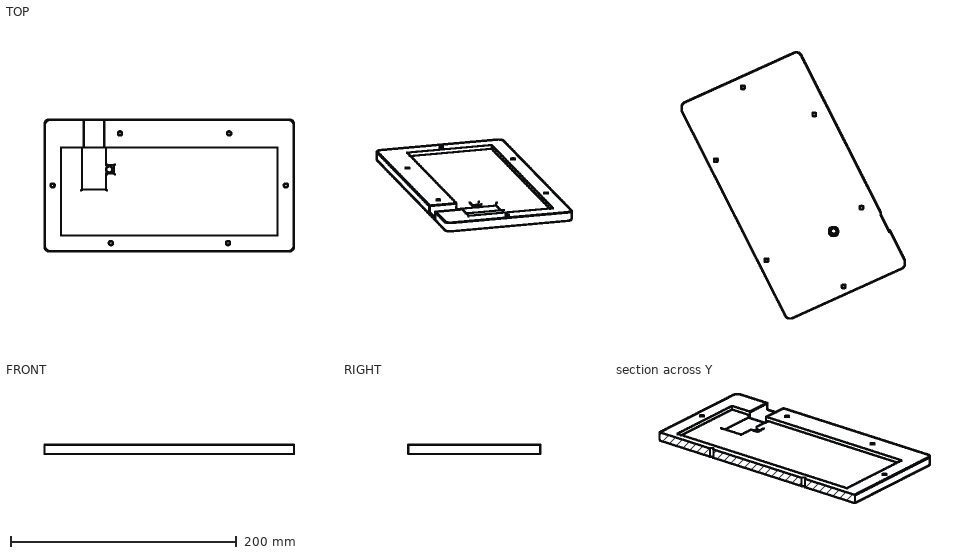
import cadquery as cq

length = 221.5
width = 117.2
thickness = 8.5
corner_radius = 5.0
top_chamfer = 0.5
bottom_radius = 1.0

pocket_length = 192.0
pocket_width = 78.0
pocket_depth = 3.5
back_rim = 25.0
pocket_back_y = width / 2 - back_rim
pocket_floor_z = thickness - pocket_depth

channel_x = -66.65
channel_width = 17.7
channel_left = channel_x - channel_width / 2
channel_right = channel_x + channel_width / 2
channel_corner_radius = 0.6
channel_floor_z = 2.2

recess_floor_z = 2.4
recess_width = 21.3
recess_length = 37.3
recess_left = channel_x - recess_width / 2
recess_right = channel_x + recess_width / 2
recess_front_y = pocket_back_y - recess_length
recess_rim_radius = 1.0

tab_width = 7.5
tab_end_x = -48.8
hole_y = 14.15
hole_points = [(-53.1, hole_y)]
hole_diameter = 5.5
counterbore_diameter = 8.4
counterbore_depth = 1.0

screw_diameter = 3.4
screw_points = [
    (-43.6, 46.1),
    (53.1, 46.1),
    (-103.3, 0.0),
    (103.3, 0.0),
    (-51.7, -51.1),
    (52.1, -51.1),
]

tolerance = 0.01


def block(x_min, x_max, y_min, y_max, z_min, z_max):
    size = (x_max - x_min, y_max - y_min, z_max - z_min)
    return cq.Workplane("XY").box(*size, centered=False).translate((x_min, y_min, z_min))


def cylinders(points, diameter, height):
    return cq.Workplane("XY").pushPoints(points).circle(diameter / 2).extrude(height)


def channel():
    """Straight channel through the back rim, open at the +Y side."""
    return block(channel_left, channel_right, pocket_back_y, width / 2, channel_floor_z, thickness)


def plate_with_channel():
    """Plate whose top outline, channel edges and channel mouth share one chamfer."""
    body = cq.Workplane("XY").box(length, width, thickness, centered=(True, True, False))
    body = body.edges("|Z").fillet(corner_radius)
    body = body.faces("<Z").edges().fillet(bottom_radius)
    body = body.cut(channel())
    mouth = cq.selectors.BoxSelector(
        (channel_left - tolerance, width / 2 - tolerance, channel_floor_z - tolerance),
        (channel_right + tolerance, width / 2 + tolerance, thickness + tolerance),
    )
    floor_corners = cq.selectors.BoxSelector(
        (channel_left - tolerance, pocket_back_y - tolerance, channel_floor_z - tolerance),
        (channel_right + tolerance, width / 2, channel_floor_z + tolerance),
    )
    body = body.edges(floor_corners).edges("|Y").fillet(channel_corner_radius)
    top_edges = body.faces(">Z").edges()
    return top_edges.add(body.edges(mouth)).chamfer(top_chamfer)


def pocket():
    half_length = pocket_length / 2
    front_y = pocket_back_y - pocket_width
    return block(-half_length, half_length, front_y, pocket_back_y, pocket_floor_z, thickness)


def recess():
    """Recess in the pocket floor with a short tab on its +X side."""
    main = block(recess_left, recess_right, recess_front_y, pocket_back_y, recess_floor_z, pocket_floor_z)
    tab_front_y = hole_y - tab_width / 2
    tab = block(channel_x, tab_end_x, tab_front_y, tab_front_y + tab_width, recess_floor_z, pocket_floor_z)
    return main.union(tab)


def rounded_recess_rim(body):
    """Round over the recess rim where it meets the pocket floor."""
    rim_box = cq.selectors.BoxSelector(
        (recess_left - tolerance, recess_front_y - tolerance, pocket_floor_z - tolerance),
        (tab_end_x + tolerance, pocket_back_y - tolerance, pocket_floor_z + tolerance),
    )
    return body.edges(rim_box).fillet(recess_rim_radius)


result = rounded_recess_rim(plate_with_channel().cut(pocket()).cut(recess()))
result = result.cut(cylinders(screw_points, screw_diameter, thickness))
result = result.cut(cylinders(hole_points, hole_diameter, thickness))
result = result.cut(cylinders(hole_points, counterbore_diameter, counterbore_depth))